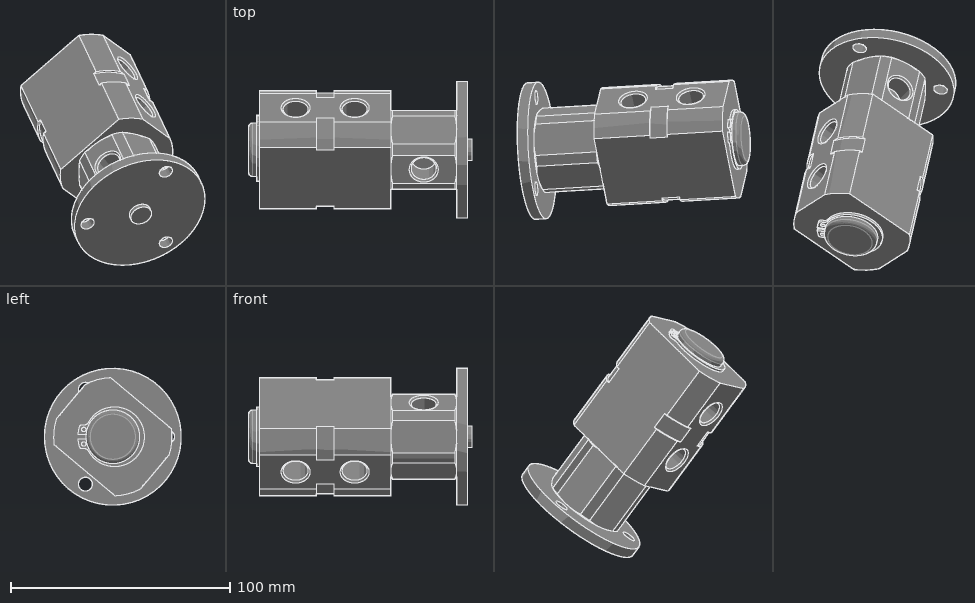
import cadquery as cq
import math


shaft_end = 0.0
housing_start = 5.0
housing_length = 60.0
hex_start = housing_start + housing_length
hex_length = 30.0
flange_start = hex_start + hex_length
flange_thickness = 5.0
flange_end = flange_start + flange_thickness
overall_length = 102.0

shaft_diameter = 24.5
shaft_end_fillet = 1.9
ring_groove_diameter = 23.0
ring_thickness = 1.2
ring_start = housing_start - ring_thickness

housing_diameter = 54.0
label_flat_distance = 20.0
port_flat_distance = 25.0
housing_tilt = 40.0
band_width = 8.1
band_diameter = 52.0
housing_centre = housing_start + housing_length / 2
port_spacing = 26.9

port_diameter = 11.4
port_chamfer = 0.9

hex_across_flats = 36.0
hex_round_diameter = 39.0
hex_chamfer_length = 0.8
hex_chamfer_depth = 1.4
hex_port_tilt = 120.0
hex_port_depth = 10.3

flange_diameter = 62.5
flange_hole_diameter = 6.2
flange_hole_count = 3
flange_hole_circle_diameter = 50.0
pin_diameter = 10.0

ring_outer_diameter = 27.2
ring_offset = 0.8
ear_reach = 15.9
ear_outer_width = 10.8
ear_gap = 2.2
ear_corner_radius = 1.2
ear_root_radius = 2.0
ear_hole_diameter = 2.0
ear_hole_y = 13.3
ear_hole_spacing = 6.6


def rod(diameter, start, end):
    """Cylinder on the X axis between two positions."""
    return cq.Workplane("YZ", origin=(start, 0, 0)).circle(diameter / 2).extrude(end - start)


def port_cutter(x, tilt, face_distance, depth):
    """Chamfered round port that enters a flat whose normal is turned by tilt from +Y towards +Z."""
    radius = port_diameter / 2
    profile = [
        (0, face_distance),
        (radius + port_chamfer, face_distance),
        (radius, face_distance - port_chamfer),
        (radius, face_distance - depth),
        (0, face_distance - depth),
    ]
    cutter = cq.Workplane("XY").polyline(profile).close().revolve(360, (0, 0, 0), (0, 1, 0))
    return cutter.rotate((0, 0, 0), (1, 0, 0), tilt).translate((x, 0, 0))


def make_housing():
    flats = (
        cq.Workplane("YZ", origin=(housing_start, 0, 0))
        .rect(2 * port_flat_distance, 2 * label_flat_distance)
        .extrude(housing_length)
        .rotate((0, 0, 0), (1, 0, 0), housing_tilt)
    )
    body = rod(housing_diameter, housing_start, hex_start).intersect(flats)

    band_start = housing_centre - band_width / 2
    band_end = housing_centre + band_width / 2
    band_stock = rod(2 * housing_diameter, band_start, band_end)
    body = body.cut(band_stock.cut(rod(band_diameter, band_start, band_end)))

    for tilt in (housing_tilt, housing_tilt + 180):
        for side in (-1, 1):
            x = housing_centre + side * port_spacing / 2
            body = body.cut(port_cutter(x, tilt, port_flat_distance, port_flat_distance))

    return body.cut(rod(shaft_diameter, housing_start, hex_start))


def make_hex_end():
    """Hexagon with rounded corners, both of its ends chamfered by a cone."""
    radius = hex_round_diameter / 2
    end_radius = radius - hex_chamfer_depth
    turned_profile = [
        (hex_start, 0),
        (hex_start, end_radius),
        (hex_start + hex_chamfer_length, radius),
        (flange_start - hex_chamfer_length, radius),
        (flange_start, end_radius),
        (flange_start, 0),
    ]
    turned = cq.Workplane("XY").polyline(turned_profile).close().revolve(360, (0, 0, 0), (1, 0, 0))
    hexagon = (
        cq.Workplane("YZ", origin=(hex_start, 0, 0))
        .polygon(6, hex_across_flats, circumscribed=True)
        .extrude(hex_length)
    )
    port_x = hex_start + hex_length / 2
    port = port_cutter(port_x, hex_port_tilt, hex_across_flats / 2, hex_port_depth)
    return turned.intersect(hexagon).cut(port)


def make_rotor():
    shaft = rod(shaft_diameter, shaft_end, hex_start).faces("<X").edges().fillet(shaft_end_fillet)
    groove_stock = rod(shaft_diameter, ring_start, housing_start)
    groove = groove_stock.cut(rod(ring_groove_diameter, ring_start, housing_start))
    return shaft.cut(groove).union(make_hex_end())


def make_retaining_ring():
    outer = rod(ring_outer_diameter, ring_start, housing_start).translate((0, -ring_offset, 0))

    ears = (
        cq.Workplane("YZ", origin=(ring_start, 0, 0))
        .center(ear_reach / 2, 0)
        .rect(ear_reach, ear_outer_width)
        .extrude(ring_thickness)
        .intersect(rod(2 * ear_reach, ring_start, housing_start))
        .edges("|X")
        .edges(">Y")
        .fillet(ear_corner_radius)
    )
    ring = outer.union(ears)

    root_z = ear_outer_width / 2
    root_y = math.sqrt((ring_outer_diameter / 2) ** 2 - root_z**2) - ring_offset
    for side in (-1, 1):
        root_corner = cq.selectors.NearestToPointSelector((ring_start, root_y, side * root_z))
        ring = ring.edges("|X").edges(root_corner).fillet(ear_root_radius)

    gap = (
        cq.Workplane("YZ", origin=(ring_start, 0, 0))
        .center(ear_reach / 2, 0)
        .rect(ear_reach, ear_gap)
        .extrude(ring_thickness)
    )
    ear_holes = (
        cq.Workplane("YZ", origin=(ring_start, 0, 0))
        .center(ear_hole_y, 0)
        .rarray(1, ear_hole_spacing, 1, 2)
        .circle(ear_hole_diameter / 2)
        .extrude(ring_thickness)
    )
    bore = rod(ring_groove_diameter, ring_start, housing_start)
    return ring.cut(bore).cut(gap).cut(ear_holes)


def make_flange():
    holes = (
        cq.Workplane("YZ", origin=(flange_start, 0, 0))
        .polarArray(flange_hole_circle_diameter / 2, 180, 360, flange_hole_count)
        .circle(flange_hole_diameter / 2)
        .extrude(flange_thickness)
    )
    disc = rod(flange_diameter, flange_start, flange_end)
    return disc.cut(holes).cut(rod(pin_diameter, flange_start, flange_end))


def make_pin():
    return rod(pin_diameter, flange_start, overall_length)


housing = make_housing()
rotor = make_rotor()
retaining_ring = make_retaining_ring()
flange = make_flange()
pin = make_pin()

result = cq.Compound.makeCompound(
    [housing.val(), rotor.val(), retaining_ring.val(), flange.val(), pin.val()]
)